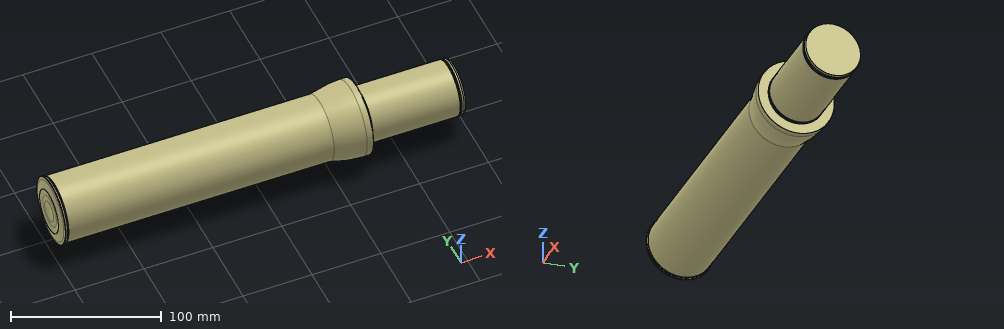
import cadquery as cq

total_length = 294.0
flange_end = 223.7
flange_width = 4.7
flare_length = 22.3

housing_diameter = 47.0
flange_diameter = 54.0
flare_bulge = 0.74
lip_diameter = 48.2
lip_start = 1.5
lip_end = 3.2
lip_chamfer = 0.3
neck_diameter = 46.5
neck_end = 4.0

face_diameter = 43.5
outer_crest_diameter = 31.2
valley_diameter = 22.3
inner_crest_diameter = 14.7
face_rim_depth = 1.2
valley_depth = 0.5
center_depth = 1.0

tube_diameter = 40.0
groove_diameter = 39.5
groove_slope = 0.5
front_groove_start = 0.5
front_groove_width = 2.0
rear_groove_width = 1.5
rear_groove_end = 3.0
end_chamfer_length = 1.5
end_chamfer_height = 0.5


def revolve_about_x(profile):
    """Revolve a closed profile, drawn as (axial position, radius), about the X axis."""
    return profile.close().revolve(360, (0, 0, 0), (1, 0, 0))


def make_housing():
    """Front housing with corrugated face, lip, flare and rear flange."""
    flange_start = flange_end - flange_width
    flare_start = flange_start - flare_length
    body_radius = housing_diameter / 2
    flange_radius = flange_diameter / 2
    lip_radius = lip_diameter / 2
    flare_middle = (
        (flare_start + flange_start) / 2,
        (body_radius + flange_radius) / 2 + flare_bulge,
    )
    profile = (
        cq.Workplane("XY")
        .moveTo(center_depth, 0)
        .lineTo(0, inner_crest_diameter / 2)
        .lineTo(valley_depth, valley_diameter / 2)
        .lineTo(0, outer_crest_diameter / 2)
        .lineTo(face_rim_depth, face_diameter / 2)
        .lineTo(lip_start, lip_radius - lip_chamfer)
        .lineTo(lip_start + lip_chamfer, lip_radius)
        .lineTo(lip_end, lip_radius)
        .lineTo(lip_end, neck_diameter / 2)
        .lineTo(neck_end, neck_diameter / 2)
        .lineTo(neck_end, body_radius)
        .lineTo(flare_start, body_radius)
        .threePointArc(flare_middle, (flange_start, flange_radius))
        .lineTo(flange_end, flange_radius)
        .lineTo(flange_end, 0)
    )
    return revolve_about_x(profile)


def add_groove(profile, start, width):
    """Continue the tube outline through a shallow groove with slanted walls."""
    end = start + width
    return (
        profile.lineTo(start, tube_diameter / 2)
        .lineTo(start + groove_slope, groove_diameter / 2)
        .lineTo(end - groove_slope, groove_diameter / 2)
        .lineTo(end, tube_diameter / 2)
    )


def make_tube():
    """Rear tube, butted against the flange, with a shallow groove near each end."""
    tube_radius = tube_diameter / 2
    rear_groove_start = total_length - rear_groove_end - rear_groove_width
    profile = cq.Workplane("XY").moveTo(flange_end, 0).lineTo(flange_end, tube_radius)
    profile = add_groove(profile, flange_end + front_groove_start, front_groove_width)
    profile = add_groove(profile, rear_groove_start, rear_groove_width)
    profile = (
        profile.lineTo(total_length - end_chamfer_length, tube_radius)
        .lineTo(total_length, tube_radius - end_chamfer_height)
        .lineTo(total_length, 0)
    )
    return revolve_about_x(profile)


housing = make_housing()
tube = make_tube()
result = cq.Compound.makeCompound([housing.val(), tube.val()])